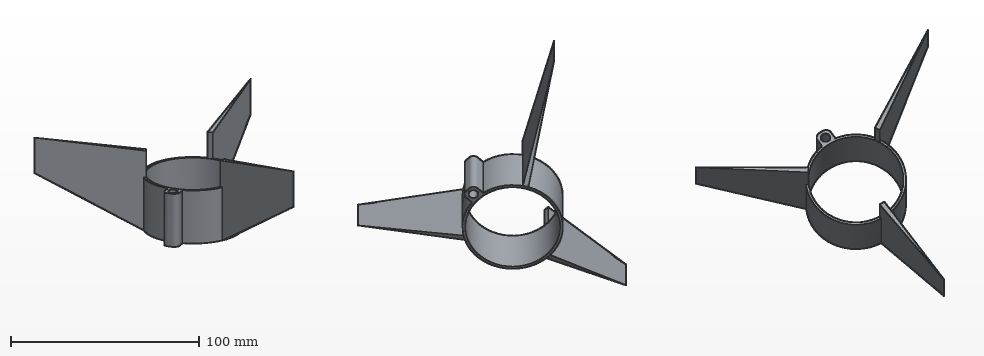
import cadquery as cq
import math

bore_diameter = 50.5
wall = 1.5
ring_height = 30.0
bore_radius = bore_diameter / 2
outer_radius = bore_radius + wall

lug_width = 8.5
lug_hole_diameter = 5.0
lug_hole_distance = 29.5
lug_reach = 33.6
lug_corner_radius = 3.1

overall_width = 147.5
fin_count = 3
fin_spacing = 360 / fin_count
root_thickness = 3.0
tip_thickness = 0.1
root_top = 45.0
tip_bottom = 35.0
tip_top = 55.0
root_radius = bore_radius
taper_start_radius = outer_radius
lower_fin_angle = math.radians(fin_spacing - 90)
tip_radius = (
    overall_width / 2 - tip_thickness / 2 * math.sin(lower_fin_angle)
) / math.cos(lower_fin_angle)


def make_ring():
    return cq.Workplane("XY").circle(outer_radius).circle(bore_radius).extrude(ring_height)


def make_lug():
    """Block with rounded outer corners, reaching inward to the ring wall."""
    block = (
        cq.Workplane("XY")
        .center(0, -lug_reach / 2)
        .rect(lug_width, lug_reach)
        .extrude(ring_height)
        .edges("|Z and <Y")
        .fillet(lug_corner_radius)
    )
    bore = cq.Workplane("XY").circle(bore_radius).extrude(ring_height)
    hole = cq.Workplane("XY").center(0, -lug_hole_distance).circle(lug_hole_diameter / 2).extrude(ring_height)
    return block.cut(bore).cut(hole)


def make_fin():
    """Fin along +Y: swept side outline intersected with the tapered plan outline."""
    side_outline = [
        (root_radius, 0),
        (taper_start_radius, 0),
        (tip_radius, tip_bottom),
        (tip_radius, tip_top),
        (taper_start_radius, root_top),
        (root_radius, root_top),
    ]
    plan_outline = [
        (-root_thickness / 2, root_radius),
        (root_thickness / 2, root_radius),
        (root_thickness / 2, taper_start_radius),
        (tip_thickness / 2, tip_radius),
        (-tip_thickness / 2, tip_radius),
        (-root_thickness / 2, taper_start_radius),
    ]
    side = cq.Workplane("YZ").polyline(side_outline).close().extrude(root_thickness / 2, both=True)
    plan = cq.Workplane("XY").polyline(plan_outline).close().extrude(tip_top)
    return side.intersect(plan)


result = make_ring().union(make_lug())
fin = make_fin()
for index in range(fin_count):
    result = result.union(fin.rotate((0, 0, 0), (0, 0, 1), index * fin_spacing))